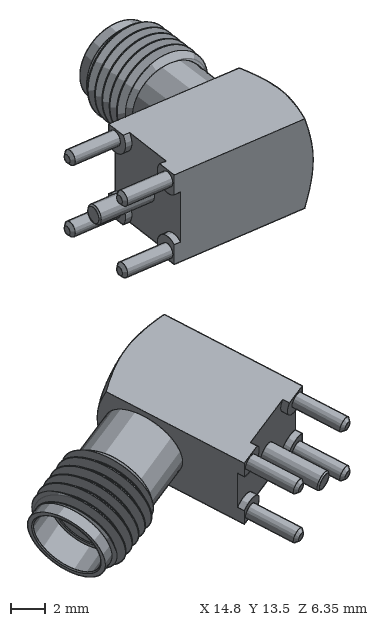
import cadquery as cq
import math


overall_length = 14.8
overall_depth = 13.5
body_width = 6.35
half_width = body_width / 2
mouth_x = half_width - overall_length
pin_tip_y = half_width - overall_depth

body_depth = 10.03
board_face_y = half_width - body_depth
recess_depth = 0.46
recess_face_y = board_face_y + recess_depth
crown_angle = 25.0
pin_spacing = 5.08
pin_offset = pin_spacing / 2
foot_radius = 1.0

ground_pin_radius = 0.5
ground_pin_chamfer = 0.22
signal_pin_radius = 0.64
signal_pin_chamfer = 0.1

barrel_radius = 2.655
bore_radius = 2.29
bore_depth = 1.9
bore_chamfer = 0.08
insulator_radius = 2.03
insulator_recess = 0.06
socket_radius = 0.47
socket_depth = 1.5
socket_chamfer = 0.16
socket_tip_angle = 118.0

inch = 25.4
threads_per_inch = 36
thread_pitch = inch / threads_per_inch
thread_radius = 3.15
thread_start = mouth_x + 0.73
thread_end = mouth_x + 5.1
thread_chamfer = 0.5
ridge_crest_width = 0.08
ridge_root_width = 0.68
ridge_overlap = 0.03
top_crest_x = mouth_x + 1.265
lead_turns = 2


def cylinder_y(radius, start_y, end_y, x=0.0, z=0.0):
    """Cylinder along Y, from start_y toward -Y."""
    plane = cq.Workplane("XZ", origin=(x, start_y, z))
    return plane.circle(radius).extrude(start_y - end_y)


def revolve_about_x(outline):
    """Solid of revolution about X from (x, radius) points."""
    return cq.Workplane("XY").polyline(outline).close().revolve(360, (0, 0, 0), (1, 0, 0))


def pin_positions():
    """(x, z) of the four ground pins, each on the axis of its foot."""
    return [(x, z) for x in (-pin_offset, pin_offset) for z in (-pin_offset, pin_offset)]


def make_body():
    """Square block with a turned crown at +Y and a round foot in each corner at -Y."""
    block = cq.Workplane("XZ", origin=(0, half_width, 0)).rect(body_width, body_width)
    block = block.extrude(body_depth)

    feet = cq.Workplane("XZ", origin=(0, recess_face_y, 0)).pushPoints(pin_positions())
    feet = feet.circle(foot_radius).extrude(recess_depth)
    recess = cq.Workplane("XZ", origin=(0, recess_face_y, 0)).rect(body_width, body_width)
    block = block.cut(recess.extrude(recess_depth).cut(feet))

    crown_radius = body_width
    crown_drop = (crown_radius - half_width) * math.tan(math.radians(crown_angle))
    crown = (
        cq.Workplane("XY")
        .moveTo(0, board_face_y)
        .lineTo(crown_radius, board_face_y)
        .lineTo(crown_radius, half_width - crown_drop)
        .lineTo(half_width, half_width)
        .lineTo(0, half_width)
        .close()
        .revolve(360, (0, 0, 0), (0, 1, 0))
    )
    return block.intersect(crown)


def make_pins():
    """Four ground pins and the central signal pin, all chamfered at the tip."""
    signal_pin = cylinder_y(signal_pin_radius, 0, pin_tip_y)
    pins = [signal_pin.faces("<Y").chamfer(signal_pin_chamfer)]
    for x, z in pin_positions():
        ground_pin = cylinder_y(ground_pin_radius, 0, pin_tip_y, x, z)
        pins.append(ground_pin.faces("<Y").chamfer(ground_pin_chamfer))
    return pins


def make_thread():
    """Helical ridge trimmed by a cone at each end."""
    start_x = top_crest_x - lead_turns * thread_pitch
    turns = math.ceil((thread_end - start_x) / thread_pitch) + 1
    path = cq.Wire.makeHelix(
        thread_pitch, turns * thread_pitch, barrel_radius, cq.Vector(start_x, 0, 0), cq.Vector(1, 0, 0)
    )

    root = ridge_root_width / 2
    crest = ridge_crest_width / 2
    ridge_profile = cq.Workplane("XZ").polyline([
        (start_x - root, barrel_radius - ridge_overlap),
        (start_x - crest, thread_radius),
        (start_x + crest, thread_radius),
        (start_x + root, barrel_radius - ridge_overlap),
    ]).close()
    ridge = ridge_profile.sweep(cq.Workplane(obj=path), isFrenet=True)

    envelope_radius = barrel_radius + thread_chamfer
    envelope = revolve_about_x([
        (thread_start, 0),
        (thread_start, barrel_radius),
        (thread_start + thread_chamfer, envelope_radius),
        (thread_end - thread_chamfer, envelope_radius),
        (thread_end, barrel_radius),
        (thread_end, 0),
    ])
    return ridge.intersect(envelope)


def make_barrel():
    """Solid cylinder from the mouth to the -X face of the body."""
    barrel = cq.Workplane("YZ", origin=(mouth_x, 0, 0)).circle(barrel_radius)
    return barrel.extrude(-half_width - mouth_x)


def make_bore():
    """Space inside the barrel: coupling bore, insulator recess and contact socket."""
    bore_floor_x = mouth_x + bore_depth
    insulator_x = bore_floor_x + insulator_recess
    socket_floor_x = insulator_x + socket_depth
    socket_tip_length = socket_radius / math.tan(math.radians(socket_tip_angle / 2))
    return revolve_about_x([
        (mouth_x, 0),
        (mouth_x, bore_radius + bore_chamfer),
        (mouth_x + bore_chamfer, bore_radius),
        (bore_floor_x, bore_radius),
        (bore_floor_x, insulator_radius),
        (insulator_x, insulator_radius - insulator_recess),
        (insulator_x, socket_radius + socket_chamfer),
        (insulator_x + socket_chamfer, socket_radius),
        (socket_floor_x, socket_radius),
        (socket_floor_x + socket_tip_length, 0),
    ])


body = make_body()
for pin in make_pins():
    body = body.union(pin)
result = body.union(make_barrel()).union(make_thread()).cut(make_bore())